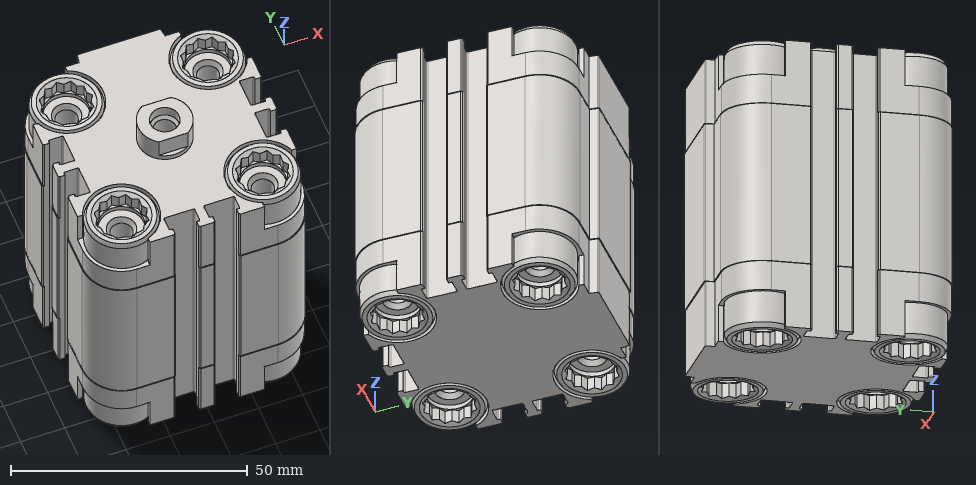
import cadquery as cq
import math

BARREL_WIDTH = 50.0
HALF_WIDTH = BARREL_WIDTH / 2
SCREW_PITCH = 16.0
CAP_INSET = 0.2
HOUSING_HEIGHT = 64.5
CAP_HEIGHT = 14.5
BARREL_HEIGHT = HOUSING_HEIGHT - 2 * CAP_HEIGHT
CORNER_RADIUS = HALF_WIDTH - SCREW_PITCH

PAD_HEIGHT = 2.05
PAD_BASE_WIDTH = 19.9
PAD_TOP_WIDTH = 19.3
PAD_EDGE_RADIUS = 0.3

SLOT_OFFSET = 4.5
SLOT_NECK_WIDTH = 5.35
SLOT_CHAMBER_WIDTH = 6.9
SLOT_FLOOR = 19.95
SLOT_SHOULDER = 23.3
SLOT_CORNER_RADIUS = 0.3
SLOT_LIP_CHAMFER = 0.35
SLOT_FACE_ANGLES = (-90, 0, 90)

SCREW_DIAMETER = 16.0
SCREW_HEIGHT = 8.05
SCREW_POCKET_DIAMETER = 16.5
CORNER_CUT_EDGE = 13.0
SCREW_RIM_DIAMETER = 14.95
SCREW_RIM_HEIGHT = 1.05
SOCKET_ACROSS_FLATS = 10.1
SOCKET_DEPTH = 3.7
SOCKET_FLOOR_DEPTH = 4.8
SOCKET_MOUTH_DIAMETER = 12.8
SOCKET_MOUTH_SLOPE = 30
THROUGH_DIAMETER = 4.9
THROUGH_MOUTH_DIAMETER = 6.4
THROUGH_MOUTH_DEPTH = 1.3

ROD_DIAMETER = 12
ROD_PROJECTION = 6.0
ROD_INSERTION = CAP_HEIGHT
ROD_ACROSS_FLATS = 10.0
ROD_FLAT_HEIGHT = 4.7
ROD_BORE_DIAMETER = 6.4
ROD_BORE_DEPTH = 2.6
ROD_CORE_DIAMETER = 4.9
ROD_CORE_DEPTH = 12
ROD_SHOULDER_DEPTH = 0.6
DRILL_TIP_ANGLE = 120

ROD_BASE = HOUSING_HEIGHT - ROD_INSERTION
ROD_TOP = HOUSING_HEIGHT + ROD_PROJECTION

SCREW_POINTS = [(x, y) for x in (-SCREW_PITCH, SCREW_PITCH) for y in (-SCREW_PITCH, SCREW_PITCH)]


def cylinder(diameter, base, top):
    """Cylinder on the Z axis."""
    return cq.Workplane("XY").workplane(offset=base).circle(diameter / 2).extrude(top - base)


def block(x_range, y_range, base, top):
    """Box given by its low and high limits along each axis."""
    size_x = x_range[1] - x_range[0]
    size_y = y_range[1] - y_range[0]
    box = cq.Workplane("XY").box(size_x, size_y, top - base, centered=False)
    return box.translate((x_range[0], y_range[0], base))


def cone(base_diameter, top_diameter, base, top):
    """Cone frustum on the Z axis; either diameter may be zero."""
    return cq.Workplane(obj=cq.Solid.makeCone(
        base_diameter / 2, top_diameter / 2, top - base, pnt=cq.Vector(0, 0, base)))


def at_screws(shape):
    """One copy of a shape at each of the four screw axes."""
    copies = cq.Workplane()
    for x, y in SCREW_POINTS:
        copies = copies.add(shape.translate((x, y, 0)).vals())
    return copies


def envelope(inset, base, top):
    """Rounded square with the +Y pad, its outline moved inward by the inset."""
    half = HALF_WIDTH - inset
    square = block((-half, half), (-half, half), base, top).edges("|Z").fillet(CORNER_RADIUS - inset)
    half_base = PAD_BASE_WIDTH / 2 - inset
    half_top = PAD_TOP_WIDTH / 2 - inset
    pad = (
        cq.Workplane("XY").workplane(offset=base)
        .moveTo(-half_base, 0)
        .lineTo(-half_base, half)
        .lineTo(-half_top, half + PAD_HEIGHT)
        .lineTo(half_top, half + PAD_HEIGHT)
        .lineTo(half_base, half)
        .lineTo(half_base, 0)
        .close()
        .extrude(top - base)
        .edges("|Z and >Y").fillet(PAD_EDGE_RADIUS)
    )
    return square.union(pad)


def slot_cutter(inset, base, top):
    """One T-slot on the -Y face, centred on the Y axis, with chamfered lips."""
    half_chamber = SLOT_CHAMBER_WIDTH / 2
    half_neck = SLOT_NECK_WIDTH / 2
    half_mouth = half_neck + SLOT_LIP_CHAMFER
    face = HALF_WIDTH - inset
    chamber = block((-half_chamber, half_chamber), (-SLOT_SHOULDER, -SLOT_FLOOR), base, top)
    chamber = chamber.edges("|Z").fillet(SLOT_CORNER_RADIUS)
    neck = (
        cq.Workplane("XY").workplane(offset=base)
        .moveTo(-half_neck, -SLOT_FLOOR - SLOT_CORNER_RADIUS)
        .lineTo(-half_neck, -face + SLOT_LIP_CHAMFER)
        .lineTo(-half_mouth, -face)
        .lineTo(half_mouth, -face)
        .lineTo(half_neck, -face + SLOT_LIP_CHAMFER)
        .lineTo(half_neck, -SLOT_FLOOR - SLOT_CORNER_RADIUS)
        .close()
        .extrude(top - base)
    )
    return chamber.union(neck)


def profile_section(inset, base, top):
    """Length of the slotted housing profile."""
    section = envelope(inset, base, top)
    slot = slot_cutter(inset, base, top)
    for angle in SLOT_FACE_ANGLES:
        for side in (-1, 1):
            placed = slot.translate((side * SLOT_OFFSET, 0, 0))
            section = section.cut(placed.rotate((0, 0, 0), (0, 0, 1), angle))
    return section


def corner_cutters(base, top):
    """Round screw pockets, opened to the outside at the four corners."""
    cutters = at_screws(cylinder(SCREW_POCKET_DIAMETER, base, top)).vals()
    for sign_x, sign_y in [(-1, -1), (-1, 1), (1, -1), (1, 1)]:
        x_range = sorted((sign_x * CORNER_CUT_EDGE, sign_x * HALF_WIDTH))
        y_range = sorted((sign_y * CORNER_CUT_EDGE, sign_y * HALF_WIDTH))
        cutters.append(block(x_range, y_range, base, top).val())
    return cutters


def screw_head():
    """Upper screw head on the Z axis, with its twelve-point socket."""
    top = HOUSING_HEIGHT
    base = top - SCREW_HEIGHT
    rim_base = top - SCREW_RIM_HEIGHT
    head = cylinder(SCREW_DIAMETER, base, rim_base)
    head = head.union(cone(SCREW_DIAMETER, SCREW_RIM_DIAMETER, rim_base, top))

    across_corners = SOCKET_ACROSS_FLATS / math.cos(math.radians(30))
    hexagon = (
        cq.Workplane("XY").workplane(offset=top - SOCKET_DEPTH)
        .polygon(6, across_corners)
        .extrude(SOCKET_DEPTH)
    )
    head = head.cut(hexagon).cut(hexagon.rotate((0, 0, 0), (0, 0, 1), 30))
    floor = top - SOCKET_FLOOR_DEPTH
    head = head.cut(cylinder(SOCKET_ACROSS_FLATS, floor, top))

    mouth_depth = SOCKET_MOUTH_DIAMETER / 2 * math.tan(math.radians(SOCKET_MOUTH_SLOPE))
    head = head.cut(cone(0, SOCKET_MOUTH_DIAMETER, top - mouth_depth, top))
    return head.cut(cone(THROUGH_DIAMETER, THROUGH_MOUTH_DIAMETER, floor - THROUGH_MOUTH_DEPTH, floor))


def make_housing():
    upper_cap_base = CAP_HEIGHT + BARREL_HEIGHT
    housing = profile_section(CAP_INSET, 0, CAP_HEIGHT)
    housing = housing.union(profile_section(0, CAP_HEIGHT, upper_cap_base))
    housing = housing.union(profile_section(CAP_INSET, upper_cap_base, HOUSING_HEIGHT))

    for base, top in [(0, SCREW_HEIGHT), (HOUSING_HEIGHT - SCREW_HEIGHT, HOUSING_HEIGHT)]:
        for cutter in corner_cutters(base, top):
            housing = housing.cut(cq.Workplane(obj=cutter))

    upper_head = screw_head()
    lower_head = upper_head.mirror("XY", (0, 0, HOUSING_HEIGHT / 2))
    for head in (upper_head, lower_head):
        for placed in at_screws(head).vals():
            housing = housing.union(cq.Workplane(obj=placed))

    for hole in at_screws(cylinder(THROUGH_DIAMETER, 0, HOUSING_HEIGHT)).vals():
        housing = housing.cut(cq.Workplane(obj=hole))
    return housing.cut(cylinder(ROD_DIAMETER, ROD_BASE, HOUSING_HEIGHT))


def make_piston_rod():
    rod = cylinder(ROD_DIAMETER, ROD_BASE, ROD_TOP)
    radius = ROD_DIAMETER / 2
    half_flats = ROD_ACROSS_FLATS / 2
    for y_range in [(-radius, -half_flats), (half_flats, radius)]:
        rod = rod.cut(block((-radius, radius), y_range, ROD_TOP - ROD_FLAT_HEIGHT, ROD_TOP))

    bore_base = ROD_TOP - ROD_BORE_DEPTH
    core_base = ROD_TOP - ROD_CORE_DEPTH
    tip_height = ROD_CORE_DIAMETER / 2 / math.tan(math.radians(DRILL_TIP_ANGLE / 2))
    rod = rod.cut(cylinder(ROD_BORE_DIAMETER, bore_base, ROD_TOP))
    rod = rod.cut(cone(ROD_CORE_DIAMETER, ROD_BORE_DIAMETER, bore_base - ROD_SHOULDER_DEPTH, bore_base))
    rod = rod.cut(cylinder(ROD_CORE_DIAMETER, core_base, bore_base))
    return rod.cut(cone(0, ROD_CORE_DIAMETER, core_base - tip_height, core_base))


housing = make_housing()
piston_rod = make_piston_rod()

result = cq.Compound.makeCompound([housing.val(), piston_rod.val()])